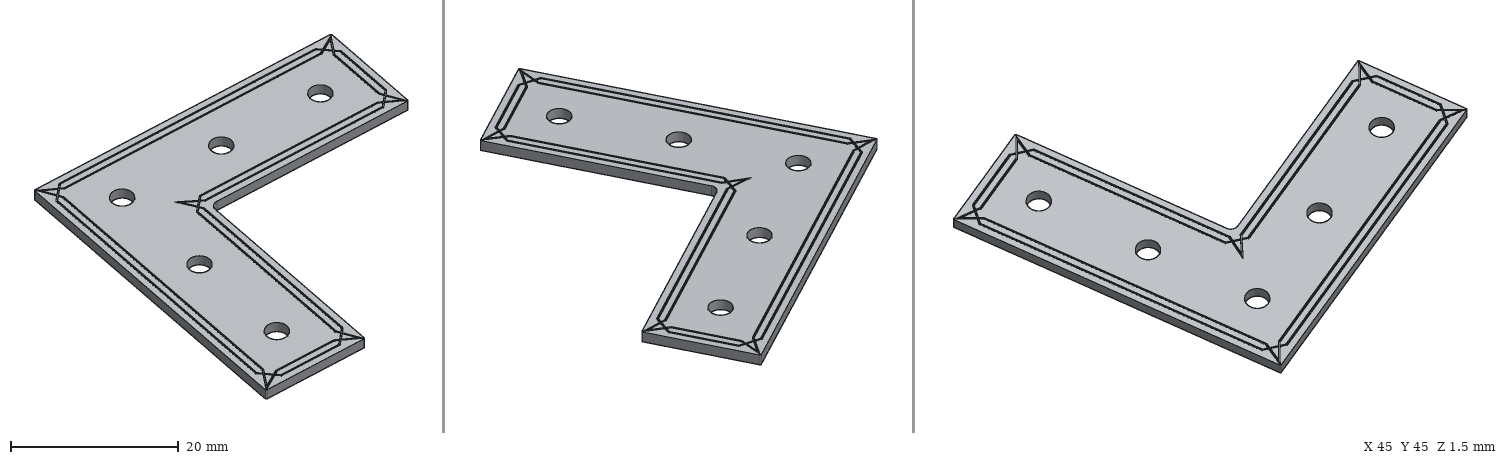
import cadquery as cq

LEG_LENGTH = 45.0
LEG_WIDTH = 15.0
THICKNESS = 1.5
OUTER_CORNER_RADIUS = 0.15
INNER_CORNER_RADIUS = 1.0

HOLE_DIAMETER = 3.0
HOLE_INSET = LEG_WIDTH / 2
HOLE_PITCH = (LEG_LENGTH - LEG_WIDTH) / 2
HOLES_PER_LEG = 3

GROOVE_WIDTH = 0.2
GROOVE_DEPTH = 0.2
OUTER_LINE_INSET = 1.0
INNER_LINE_INSET = 2.0
CORNER_SETBACK = 3.1
INSIDE_SETBACK = 0.0
SPIKE_TIP_INSET = 0.4
INSIDE_SPIKE_TIP_INSET = 2.7

X_LEG_CORNERS = [
    ((0, 0), (1, 1)),
    ((LEG_LENGTH, 0), (-1, 1)),
    ((LEG_LENGTH, LEG_WIDTH), (-1, -1)),
]
INSIDE_CORNER = (LEG_WIDTH, LEG_WIDTH)
Y_LEG_CORNERS = [
    ((LEG_WIDTH, LEG_LENGTH), (-1, -1)),
    ((0, LEG_LENGTH), (1, -1)),
]


def inset_point(corner, signs, inset_x, inset_y):
    """Point at the given distances from the two edges that meet at a corner."""
    return (corner[0] + signs[0] * inset_x, corner[1] + signs[1] * inset_y)


def corner_points(corner, signs, line_inset, tip_inset=None):
    """Counter-clockwise points of one border line at a corner: a bevel, or a spike if a tip is given."""
    points = [inset_point(corner, signs, line_inset, CORNER_SETBACK)]
    if tip_inset is not None:
        points.append(inset_point(corner, signs, tip_inset, tip_inset))
    points.append(inset_point(corner, signs, CORNER_SETBACK, line_inset))
    if signs[0] != signs[1]:
        points.reverse()
    return points


def inside_corner_points(line_inset, tip_inset=None):
    """Points of one border line around the inside corner, from the X leg to the Y leg."""
    into_plate = (-1, -1)
    points = [inset_point(INSIDE_CORNER, into_plate, INSIDE_SETBACK, line_inset)]
    if tip_inset is not None:
        points.append(inset_point(INSIDE_CORNER, into_plate, tip_inset, tip_inset))
    points.append(inset_point(INSIDE_CORNER, into_plate, line_inset, INSIDE_SETBACK))
    return points


def border_path(line_inset, convex_tip=None, inside_tip=None):
    """Closed path of one border line around the whole plate."""
    points = []
    for corner, signs in X_LEG_CORNERS:
        points += corner_points(corner, signs, line_inset, convex_tip)
    points += inside_corner_points(line_inset, inside_tip)
    for corner, signs in Y_LEG_CORNERS:
        points += corner_points(corner, signs, line_inset, convex_tip)
    return points


def groove(points):
    """Solid that engraves a line of constant width along a closed path."""
    floor = cq.Workplane("XY", origin=(0, 0, THICKNESS - GROOVE_DEPTH))
    half_width = GROOVE_WIDTH / 2
    outside, inside = [
        floor.polyline(points).close().offset2D(offset, "intersection").extrude(GROOVE_DEPTH)
        for offset in (half_width, -half_width)
    ]
    return outside.cut(inside)


def round_corner(plate, corner, radius):
    """Round the vertical edge of the plate at one corner."""
    edge = cq.selectors.NearestToPointSelector((*corner, THICKNESS / 2))
    return plate.edges("|Z").edges(edge).fillet(radius)


def make_plate():
    """L-shaped plate with its vertical edges rounded."""
    x_leg = [corner for corner, _ in X_LEG_CORNERS]
    y_leg = [corner for corner, _ in Y_LEG_CORNERS]
    outline = x_leg + [INSIDE_CORNER] + y_leg
    plate = cq.Workplane("XY").polyline(outline).close().extrude(THICKNESS)
    plate = round_corner(plate, INSIDE_CORNER, INNER_CORNER_RADIUS)
    for corner in x_leg + y_leg:
        plate = round_corner(plate, corner, OUTER_CORNER_RADIUS)
    return plate


def make_holes():
    """Cylinders for the mounting holes along both legs."""
    steps = [HOLE_INSET + i * HOLE_PITCH for i in range(HOLES_PER_LEG)]
    centers = [(x, HOLE_INSET) for x in steps] + [(HOLE_INSET, y) for y in steps[1:]]
    return cq.Workplane("XY").pushPoints(centers).circle(HOLE_DIAMETER / 2).extrude(THICKNESS)


outer_line = groove(border_path(OUTER_LINE_INSET, inside_tip=INSIDE_SPIKE_TIP_INSET))
inner_line = groove(border_path(INNER_LINE_INSET, convex_tip=SPIKE_TIP_INSET))

result = make_plate().cut(make_holes()).cut(outer_line).cut(inner_line)